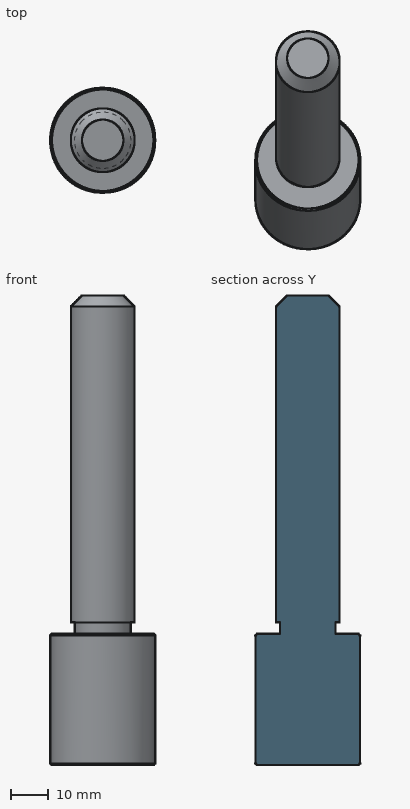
import cadquery as cq

total_height = 125.0
head_diameter = 28.0
head_height = 35.0
head_chamfer = 0.5
neck_diameter = 15.0
neck_height = 3.0
shank_diameter = 17.0
tip_chamfer = 3.0

shank_bottom = head_height + neck_height
shank_height = total_height - shank_bottom

head = cq.Workplane("XY").circle(head_diameter / 2).extrude(head_height)
head = head.faces("<Z or >Z").edges().chamfer(head_chamfer)

neck = cq.Workplane("XY").workplane(offset=head_height).circle(neck_diameter / 2).extrude(neck_height)

shank = cq.Workplane("XY").workplane(offset=shank_bottom).circle(shank_diameter / 2).extrude(shank_height)
shank = shank.faces(">Z").edges().chamfer(tip_chamfer)

result = head.union(neck).union(shank)